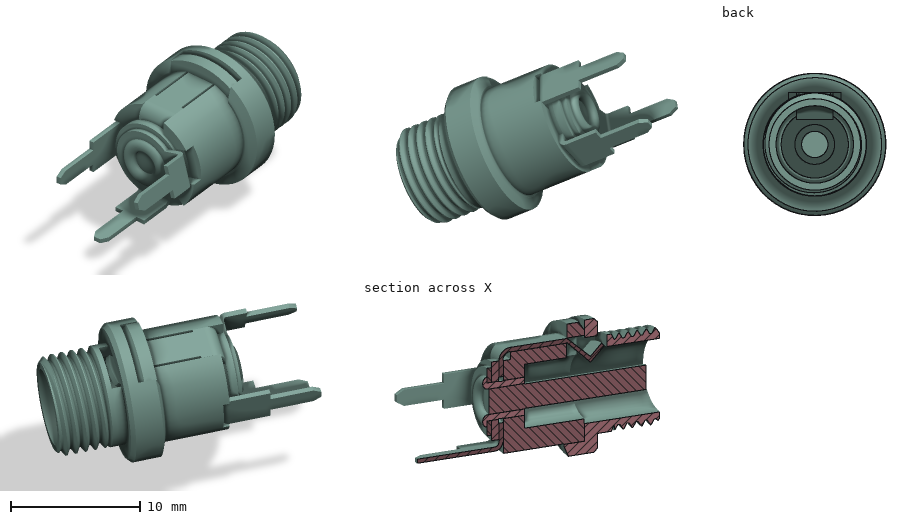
import cadquery as cq
import math


mouth_y = 5.33
neck_radius = 8.02 / 2
neck_length = 1.17
neck_taper_length = 0.23
thread_crest_radius = 3.98
thread_root_radius = 3.55
thread_pitch = 0.781
thread_crest_width = 0.08
thread_base_width = 0.67
thread_embed = 0.05
thread_phase_y = 0.44
flange_radius = 11.02 / 2
flange_back_y = -2.92
flange_front_chamfer = 0.33
flange_back_chamfer_length = 0.37
flange_back_rim_radius = 4.62
bore_radius = 3.0
window_width = 4.08
window_front_y = 0.75
window_floor_z = 1.67

barrel_radius = 4.44
barrel_front_y = -1.15
barrel_back_y = -8.12
cavity_radius = 2.6
cavity_back_y = -6.25
latch_half_width = 2.92
latch_radius = 5.4
latch_root_radius = 4.67
latch_ramp_length = 0.5
latch_back_y = -2.65
guard_inner_radius = 3.35
guard_back_y = -9.0
guard_end_angle = -40.0

blade_width = 2.83
prong_width = 1.33
prong_tip_width = 0.6
shoulder_y = -11.44
taper_start_y = -14.87
tip_y = mouth_y - 20.83

sleeve_thickness = 0.37
sleeve_leg_face = 4.15
sleeve_bend_inside = 0.33
washer_radius = 3.19
washer_hole_radius = 1.87
leaf_top_z = 4.2
leaf_bend_radius = 1.0
leaf_neck_width = 2.42
leaf_neck_back_y = -6.58
leaf_valley_y = -0.62
leaf_valley_z = 1.92
leaf_tip_y = 0.58
leaf_tip_sag = 0.35

plate_thickness = 0.4
plate_bend_inside = 0.23
shunt_face = 4.0
shunt_front_y = -7.6
shunt_tongue_end = 1.87

insulator_radius = 3.25
insulator_thickness = 0.62
ring_radius = 2.8
ring_arm_angle = 15.0
ring_leg_face = 4.25
arm_channel_width = 3.0
eyelet_head_radius = 2.1
eyelet_roll_radius = 0.52
eyelet_head_height = 0.37
eyelet_tube_radius = 1.55
pin_radius = 1.02
pin_front_y = 4.17

insulator_front_y = barrel_back_y - sleeve_thickness
ring_front_y = insulator_front_y - insulator_thickness
ring_back_y = ring_front_y - plate_thickness
eyelet_back_y = ring_back_y - eyelet_head_height
leaf_bottom_z = leaf_top_z - sleeve_thickness
leaf_bend_y = insulator_front_y + leaf_bend_radius
leaf_bend_z = leaf_top_z - leaf_bend_radius


def disc(radius, front_y, back_y):
    """Cylinder on the Y axis."""
    plane = cq.Workplane("XZ", origin=(0, front_y, 0))
    return plane.circle(radius).extrude(front_y - back_y)


def block(x_range, y_range, z_range):
    """Box given by its limits along each axis."""
    size = [abs(high - low) for low, high in (x_range, y_range, z_range)]
    center = [(low + high) / 2 for low, high in (x_range, y_range, z_range)]
    return cq.Workplane("XY").box(*size).translate(tuple(center))


def revolve_on_axis(points):
    """Solid turned about the Y axis from (radius, y) points."""
    return cq.Workplane("XY").polyline(points).close().revolve(360, (0, 0, 0), (0, 1, 0))


def turn_to(body, angle):
    """Turn a body about the Y axis so that its +X side faces the given angle."""
    return body.rotate((0, 0, 0), (0, 1, 0), -angle)


def make_bent_terminal(leg_face, front_y, tongue_end, thickness, bend_inside):
    """Tongue running out along +X, bent into a solder leg that runs to -Y."""
    bend_outside = bend_inside + thickness
    bend_x = leg_face - bend_outside
    bend_y = front_y - bend_outside
    diagonal = math.sqrt(0.5)
    strip = (
        cq.Workplane("XY", origin=(0, 0, -blade_width / 2))
        .moveTo(tongue_end, front_y)
        .lineTo(bend_x, front_y)
        .threePointArc(
            (bend_x + bend_outside * diagonal, bend_y + bend_outside * diagonal),
            (leg_face, bend_y),
        )
        .lineTo(leg_face, tip_y)
        .lineTo(leg_face - thickness, tip_y)
        .lineTo(leg_face - thickness, bend_y)
        .threePointArc(
            (bend_x + bend_inside * diagonal, bend_y + bend_inside * diagonal),
            (bend_x, front_y - thickness),
        )
        .lineTo(tongue_end, front_y - thickness)
        .close()
        .extrude(blade_width)
    )
    half_outline = [
        (front_y, blade_width / 2),
        (shoulder_y, blade_width / 2),
        (shoulder_y, prong_width / 2),
        (taper_start_y, prong_width / 2),
        (tip_y, prong_tip_width / 2),
    ]
    other_half = [(y, -z) for y, z in reversed(half_outline)]
    blade = cq.Workplane("YZ").polyline(half_outline + other_half).close().extrude(leg_face)
    return strip.intersect(blade)


def make_thread():
    """Right-handed ridge around the bushing, cut to a cone at the mouth."""
    turns = math.ceil((mouth_y - thread_phase_y) / thread_pitch)
    base_radius = thread_root_radius - thread_embed
    path = cq.Wire.makeHelix(thread_pitch, turns * thread_pitch, thread_root_radius)
    ridge = (
        cq.Workplane("XZ")
        .polyline([
            (base_radius, -thread_base_width / 2),
            (thread_crest_radius, -thread_crest_width / 2),
            (thread_crest_radius, thread_crest_width / 2),
            (base_radius, thread_base_width / 2),
        ])
        .close()
        .sweep(cq.Workplane(path), isFrenet=True)
    )
    ridge = ridge.rotate((0, 0, 0), (1, 0, 0), -90).translate((0, thread_phase_y, 0))
    outer_radius = thread_crest_radius + thread_embed
    thread_back_y = neck_length + neck_taper_length
    limit = revolve_on_axis([
        (0, thread_back_y),
        (outer_radius, thread_back_y),
        (outer_radius, mouth_y - (outer_radius - thread_root_radius)),
        (thread_root_radius, mouth_y),
        (0, mouth_y),
    ])
    return ridge.intersect(limit)


def make_bushing():
    body = revolve_on_axis([
        (0, mouth_y),
        (thread_root_radius, mouth_y),
        (thread_root_radius, neck_length + neck_taper_length),
        (neck_radius, neck_length),
        (neck_radius, 0),
        (flange_radius - flange_front_chamfer, 0),
        (flange_radius, -flange_front_chamfer),
        (flange_radius, flange_back_y + flange_back_chamfer_length),
        (flange_back_rim_radius, flange_back_y),
        (0, flange_back_y),
    ])
    body = body.union(make_thread())
    bore = disc(bore_radius, mouth_y, flange_back_y)
    barrel_seat = disc(barrel_radius, barrel_front_y, flange_back_y)
    latch_notch = block(
        (-latch_half_width, latch_half_width), (flange_back_y, barrel_front_y), (0, flange_radius)
    )
    window = block(
        (-window_width / 2, window_width / 2),
        (barrel_front_y, window_front_y),
        (window_floor_z, neck_radius),
    )
    return body.cut(bore).cut(barrel_seat).cut(latch_notch).cut(window)


def make_latch():
    """Ramped tab on top of the barrel that fills the flange notch."""
    ring = revolve_on_axis([
        (cavity_radius, barrel_front_y),
        (latch_root_radius, barrel_front_y),
        (latch_radius, barrel_front_y - latch_ramp_length),
        (latch_radius, latch_back_y),
        (cavity_radius, latch_back_y),
    ])
    reach = block(
        (-latch_half_width, latch_half_width), (latch_back_y, barrel_front_y), (cavity_radius, latch_radius)
    )
    return ring.intersect(reach)


def make_guard_cutter():
    """Everything to remove behind the barrel, leaving a rim from the leaf slot to the guard end angle."""
    behind_barrel = disc(flange_radius, barrel_back_y, guard_back_y)
    rim = behind_barrel.cut(disc(guard_inner_radius, barrel_back_y, guard_back_y))
    reach = 2 * barrel_radius
    end = math.radians(guard_end_angle)
    wedge = (
        cq.Workplane("XZ", origin=(0, barrel_back_y, 0))
        .polyline([
            (0, 0),
            (reach * math.cos(end), reach * math.sin(end)),
            (reach, reach),
            (blade_width / 2, reach),
            (blade_width / 2, 0),
        ])
        .close()
        .extrude(barrel_back_y - guard_back_y)
    )
    channel = block(
        (0, reach), (guard_back_y, barrel_back_y), (-arm_channel_width / 2, arm_channel_width / 2)
    )
    guard = rim.intersect(wedge).cut(turn_to(channel, ring_arm_angle))
    return behind_barrel.cut(guard)


def make_housing():
    body = disc(barrel_radius, barrel_front_y, guard_back_y).cut(make_guard_cutter()).union(make_latch())
    half = blade_width / 2
    cavity = disc(cavity_radius, barrel_front_y, cavity_back_y)
    eyelet_hole = disc(eyelet_tube_radius, cavity_back_y, barrel_back_y)
    leaf_slot = block((-half, half), (barrel_back_y, latch_back_y), (leaf_bottom_z, latch_radius))
    bend_pocket = block((-half, half), (barrel_back_y, leaf_bend_y), (leaf_bend_z, barrel_radius))
    leaf_passage = block((-half, half), (latch_back_y, barrel_front_y), (0, leaf_top_z))
    shunt_slot = block((-barrel_radius, -shunt_tongue_end), (barrel_back_y, shunt_front_y), (-half, half))
    for opening in (cavity, eyelet_hole, leaf_slot, bend_pocket, leaf_passage, shunt_slot):
        body = body.cut(opening)
    return body


def make_leaf():
    """Spring leaf that bends forward from the washer, dips to the plug and turns up at its tip."""
    half = blade_width / 2
    diagonal = math.sqrt(0.5)
    bend_inside = leaf_bend_radius - sleeve_thickness
    slope = math.atan2(leaf_bottom_z - leaf_valley_z, leaf_valley_y - latch_back_y)
    slant_height = sleeve_thickness / math.cos(slope)
    upturn_height = sleeve_thickness / diagonal
    tip_z = leaf_valley_z + leaf_tip_y - leaf_valley_y
    knee_run = (upturn_height - slant_height) / (1 + math.tan(slope))
    knee_z = leaf_valley_z + slant_height + knee_run * math.tan(slope)
    leaf = (
        cq.Workplane("YZ", origin=(-half, 0, 0))
        .moveTo(insulator_front_y, leaf_bend_z)
        .threePointArc(
            (leaf_bend_y - leaf_bend_radius * diagonal, leaf_bend_z + leaf_bend_radius * diagonal),
            (leaf_bend_y, leaf_top_z),
        )
        .lineTo(latch_back_y, leaf_top_z)
        .lineTo(leaf_valley_y - knee_run, knee_z)
        .lineTo(leaf_tip_y - sleeve_thickness * diagonal, tip_z + sleeve_thickness * diagonal)
        .lineTo(leaf_tip_y, tip_z)
        .lineTo(leaf_valley_y, leaf_valley_z)
        .lineTo(latch_back_y, leaf_bottom_z)
        .lineTo(leaf_bend_y, leaf_bottom_z)
        .threePointArc(
            (leaf_bend_y - bend_inside * diagonal, leaf_bend_z + bend_inside * diagonal),
            (barrel_back_y, leaf_bend_z),
        )
        .lineTo(barrel_back_y, 0)
        .lineTo(insulator_front_y, 0)
        .close()
        .extrude(blade_width)
    )
    for side in (-1, 1):
        x_range = sorted((side * leaf_neck_width / 2, side * half))
        leaf = leaf.cut(block(x_range, (leaf_neck_back_y, barrel_front_y), (0, leaf_top_z)))
    tip_plane = cq.Plane(origin=(0, leaf_tip_y, tip_z), xDir=(1, 0, 0), normal=(0, -1, 1))
    beyond_tip = (
        cq.Workplane(tip_plane)
        .moveTo(-half, -leaf_tip_sag)
        .threePointArc((0, 0), (half, -leaf_tip_sag))
        .lineTo(half, leaf_tip_sag)
        .lineTo(-half, leaf_tip_sag)
        .close()
        .extrude(sleeve_thickness)
    )
    return leaf.cut(beyond_tip)


def make_sleeve_contact():
    """One sheet: washer behind the barrel, spring leaf on top and solder leg below."""
    leg = make_bent_terminal(sleeve_leg_face, barrel_back_y, 0, sleeve_thickness, sleeve_bend_inside)
    washer = disc(washer_radius, barrel_back_y, insulator_front_y)
    hole = disc(washer_hole_radius, barrel_back_y, insulator_front_y)
    return washer.union(turn_to(leg, -90)).union(make_leaf()).cut(hole)


def make_shunt():
    terminal = make_bent_terminal(
        shunt_face, shunt_front_y, shunt_tongue_end, plate_thickness, plate_bend_inside
    )
    return turn_to(terminal, 180)


def make_insulator():
    body = disc(insulator_radius, insulator_front_y, ring_front_y)
    return body.cut(disc(eyelet_tube_radius, insulator_front_y, ring_front_y))


def make_ring_terminal():
    leg = make_bent_terminal(ring_leg_face, ring_front_y, 0, plate_thickness, plate_bend_inside)
    ring = disc(ring_radius, ring_front_y, ring_back_y)
    hole = disc(eyelet_tube_radius, ring_front_y, ring_back_y)
    return ring.union(turn_to(leg, ring_arm_angle)).cut(hole)


def make_eyelet():
    """Tube through the stack, with a head rolled outward behind the ring terminal."""
    crest_radius = eyelet_head_radius - eyelet_roll_radius
    inner_crest_radius = pin_radius + eyelet_roll_radius
    diagonal = math.sqrt(0.5)
    roll_y = eyelet_back_y + eyelet_roll_radius
    foot_drop = roll_y - ring_back_y
    foot_radius = crest_radius + math.sqrt(eyelet_roll_radius**2 - foot_drop**2)
    middle_angle = (math.asin(foot_drop / eyelet_roll_radius) + math.pi / 2) / 2
    return (
        cq.Workplane("XY")
        .moveTo(pin_radius, cavity_back_y)
        .lineTo(pin_radius, roll_y)
        .threePointArc(
            (inner_crest_radius - eyelet_roll_radius * diagonal, roll_y - eyelet_roll_radius * diagonal),
            (inner_crest_radius, eyelet_back_y),
        )
        .lineTo(crest_radius, eyelet_back_y)
        .threePointArc(
            (
                crest_radius + eyelet_roll_radius * math.cos(middle_angle),
                roll_y - eyelet_roll_radius * math.sin(middle_angle),
            ),
            (foot_radius, ring_back_y),
        )
        .lineTo(eyelet_tube_radius, ring_back_y)
        .lineTo(eyelet_tube_radius, cavity_back_y)
        .close()
        .revolve(360, (0, 0, 0), (0, 1, 0))
    )


def make_center_pin():
    """Plug pin held by the eyelet, ending where the rolled mouth begins."""
    return disc(pin_radius, pin_front_y, eyelet_back_y + eyelet_roll_radius)


bushing = make_bushing()
housing = make_housing()
sleeve_contact = make_sleeve_contact()
shunt = make_shunt()
insulator = make_insulator()
ring_terminal = make_ring_terminal()
eyelet = make_eyelet()
center_pin = make_center_pin()

bodies = [bushing, housing, sleeve_contact, shunt, insulator, ring_terminal, eyelet, center_pin]
result = cq.Compound.makeCompound([body.solids().val() for body in bodies])